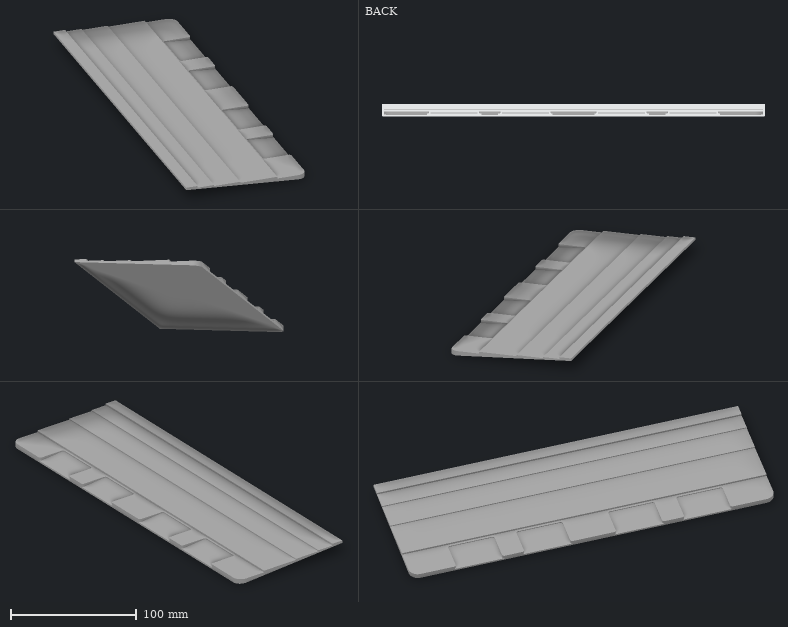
import cadquery as cq

length = 304.8
width = 103.0
height = 9.0
front_thickness = 2.0
corner_radius = 7.5

riser_distances = [25.3, 57.0, 79.2, 93.3]
terrace_heights = [4.3, 5.8, 6.7, 7.5, height]

pocket_width = 38.7
pocket_length = 23.5
pocket_rear_depth = 2.7
pocket_front_depth = 0.75
pocket_corner_radius = 1.8
pocket_centers = [38.5, 95.5]

rear_y = width / 2
front_y = -width / 2


def extrude_across(points, span):
    """Extrude a Y-Z outline along X, centered on the middle plane."""
    return cq.Workplane("YZ").polyline(points).close().extrude(span / 2, both=True)


def make_plate():
    """Plate with a sloping flat underside and a terraced top."""
    points = [(front_y, height - front_thickness), (rear_y, 0)]
    edge_y = rear_y
    for distance, terrace_z in zip(riser_distances + [width], terrace_heights):
        points.append((edge_y, terrace_z))
        edge_y = rear_y - distance
        points.append((edge_y, terrace_z))
    plate = extrude_across(points, length)
    return plate.edges("|Z and >Y").fillet(corner_radius)


def make_pocket_cutter(center_x):
    """Pocket with rounded inner corners, rounded mouth and a sloping floor."""
    half = pocket_width / 2
    radius = pocket_corner_radius
    inner_y = rear_y - pocket_length
    outline = (
        cq.Workplane("XY")
        .moveTo(-half - radius, rear_y)
        .radiusArc((-half, rear_y - radius), radius)
        .lineTo(-half, inner_y + radius)
        .radiusArc((-half + radius, inner_y), -radius)
        .lineTo(half - radius, inner_y)
        .radiusArc((half, inner_y + radius), -radius)
        .lineTo(half, rear_y - radius)
        .radiusArc((half + radius, rear_y), radius)
        .close()
        .extrude(height)
    )
    rear_terrace_z = terrace_heights[0]
    above_floor = extrude_across(
        [
            (inner_y, rear_terrace_z - pocket_front_depth),
            (rear_y, rear_terrace_z - pocket_rear_depth),
            (rear_y, height),
            (inner_y, height),
        ],
        length,
    )
    return outline.intersect(above_floor).translate((center_x, 0, 0))


result = make_plate()
for center in pocket_centers:
    for side in (-1, 1):
        result = result.cut(make_pocket_cutter(side * center))